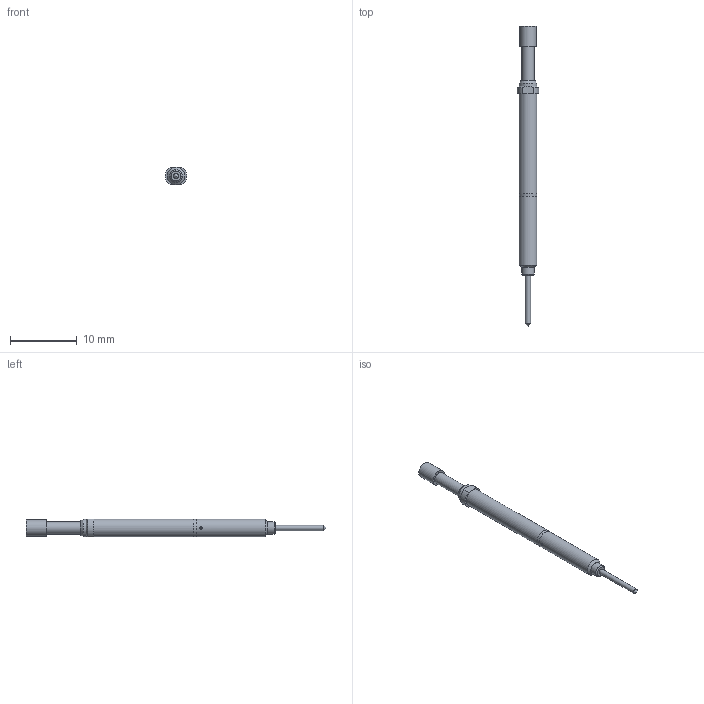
import cadquery as cq

OVERALL_LENGTH = 44.8

HEAD_RADIUS = 1.2
HEAD_LENGTH = 3.0
STEM_RADIUS = 0.9
STEM_LENGTH = 5.13

LEAD_IN_RADIUS = 1.05
LEAD_IN_LENGTH = 0.4
RING_LENGTH = 0.45
FLANGE_RADIUS = 1.595
FLANGE_CHAMFER = 0.22
FLANGE_LENGTH = 0.95
ACROSS_FLATS = 2.65

BARREL_RADIUS = ACROSS_FLATS / 2
UPPER_BARREL_LENGTH = 14.9
BARREL_TAPER_LENGTH = 0.4
LOWER_BARREL_RADIUS = 1.3
LOWER_BARREL_LENGTH = 10.25
SHOULDER_LENGTH = 0.32

TAIL_RADIUS = 0.93
TAIL_LENGTH = 1.21
TAIL_CHAMFER = 0.18
PIN_RADIUS = 0.38
TIP_LENGTH = 0.3

DIMPLE_RADIUS = 0.18
DIMPLE_DEPTH = 0.15
DIMPLE_OFFSET = 0.66

FLANGE_TOP = FLANGE_LENGTH
RING_BOTTOM = FLANGE_TOP + FLANGE_CHAMFER
LEAD_IN_BOTTOM = RING_BOTTOM + RING_LENGTH
LEAD_IN_TOP = LEAD_IN_BOTTOM + LEAD_IN_LENGTH
HEAD_BOTTOM = LEAD_IN_TOP + STEM_LENGTH
HEAD_TOP = HEAD_BOTTOM + HEAD_LENGTH
TAPER_TOP = -UPPER_BARREL_LENGTH
TAPER_BOTTOM = TAPER_TOP - BARREL_TAPER_LENGTH
SHOULDER_TOP = TAPER_BOTTOM - LOWER_BARREL_LENGTH
TAIL_TOP = SHOULDER_TOP - SHOULDER_LENGTH
TAIL_BOTTOM = TAIL_TOP - TAIL_LENGTH
TIP_POINT = HEAD_TOP - OVERALL_LENGTH
PIN_BOTTOM = TIP_POINT + TIP_LENGTH


def make_turned_body():
    """Half outline of the probe, turned about the Y axis."""
    outline = (
        cq.Workplane("XY")
        .moveTo(0, HEAD_TOP)
        .lineTo(HEAD_RADIUS, HEAD_TOP)
        .lineTo(HEAD_RADIUS, HEAD_BOTTOM)
        .lineTo(STEM_RADIUS, HEAD_BOTTOM)
        .lineTo(STEM_RADIUS, LEAD_IN_TOP)
        .lineTo(LEAD_IN_RADIUS, LEAD_IN_TOP)
        .lineTo(BARREL_RADIUS, LEAD_IN_BOTTOM)
        .lineTo(BARREL_RADIUS, RING_BOTTOM)
        .lineTo(FLANGE_RADIUS, FLANGE_TOP)
        .lineTo(FLANGE_RADIUS, 0)
        .lineTo(BARREL_RADIUS, 0)
        .lineTo(BARREL_RADIUS, TAPER_TOP)
        .lineTo(LOWER_BARREL_RADIUS, TAPER_BOTTOM)
        .lineTo(LOWER_BARREL_RADIUS, SHOULDER_TOP)
        .lineTo(TAIL_RADIUS, TAIL_TOP)
        .lineTo(TAIL_RADIUS, TAIL_BOTTOM + TAIL_CHAMFER)
        .lineTo(TAIL_RADIUS - TAIL_CHAMFER, TAIL_BOTTOM)
        .lineTo(PIN_RADIUS, TAIL_BOTTOM)
        .lineTo(PIN_RADIUS, PIN_BOTTOM)
        .lineTo(0, TIP_POINT)
        .close()
    )
    return outline.revolve(360, (0, 0, 0), (0, 1, 0))


def cut_flats(body):
    """Trim the flange to its two flats, facing +Z and -Z."""
    envelope = cq.Workplane("XY").box(
        2 * FLANGE_RADIUS, 2 * OVERALL_LENGTH, ACROSS_FLATS
    )
    return body.intersect(envelope)


def cut_dimple(body):
    """Sink the dimple into the -X side of the lower barrel."""
    drill = (
        cq.Workplane("YZ", origin=(-BARREL_RADIUS, TAPER_BOTTOM - DIMPLE_OFFSET, 0))
        .circle(DIMPLE_RADIUS)
        .extrude(DIMPLE_DEPTH)
    )
    return body.cut(drill)


result = cut_dimple(cut_flats(make_turned_body()))